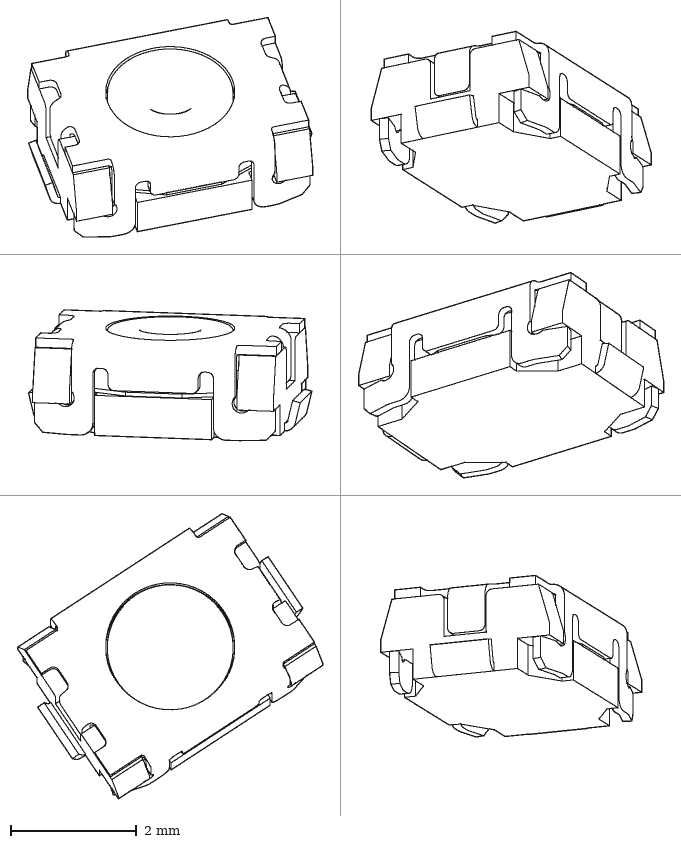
import cadquery as cq
import math

WIDTH = 2.9
HALF_WIDTH = WIDTH / 2
HALF_LENGTH = 1.95
TOTAL_LENGTH = 4.4
TOTAL_HALF_LENGTH = TOTAL_LENGTH / 2
TOP_Z = 1.5
SHEET = 0.15
SHEET_FILLET = 0.1
INNER_BEND = 0.05
OUTER_BEND = INNER_BEND + SHEET

HOUSING_TOP = TOP_Z - SHEET
FLOOR_Z = 0.65
UNDERCUT_Z = 0.495
BLOCK_START = 1.355
BLOCK_TOP_HALF = 1.26
SLOPE_START_Z = 0.7
SIDE_BLOCK_HALF = 0.945
LEG_RECESS_X = 1.26
END_HALF_WIDTH = 0.898
TAPER_END_Y = 1.49
SLOT_HALF = 0.36

SIDE_HALF = 1.325
CORNER_X = 1.21
CORNER_FILLET = 0.05
HOLE_DIAMETER = 2.05
WINDOW_HALF = 0.975
WINDOW_TOP = 1.09
TAB_HALF = 0.73
TAB_BOTTOM = 0.74
LEG_FILLET = 0.2
RELIEF_RADIUS = 0.15
RELIEF_Y = 1.43
RELIEF_Z = 0.6
FOOT_ANGLE = math.radians(15)
FOOT_BEND = 0.44
FOOT_CHAMFER = 0.145
TONGUE_HALF = 0.32
TONGUE_OUTER_Y = 1.895
TONGUE_BOTTOM = 0.7
NOTCH_HALF = 0.765
NOTCH_BOTTOM_Y = 1.69

HEAD_DIAMETER = 2.0
HEAD_FILLET = 0.05
STEM_DIAMETER = 0.8
STEM_BOTTOM = 0.805
FLANGE_BOTTOM = 1.1
FLANGE_HALF_X = 1.24
FLANGE_HALF_Y = 1.35
DISH_RADIUS = 0.58
DISH_DEPTH = 0.29
DISH_FLAT_RADIUS = 0.02

PLATE_THICKNESS = 0.06
PLATE_HALF_X = 1.41
PLATE_HALF_Y = 1.35
PLATE_STRAIGHT_HALF = 0.458
PLATE_TAPER = math.radians(22.5)

TERMINAL_WIDTH = 1.0
TERMINAL_THICKNESS = 0.128
TERMINAL_BEND = 0.175
TERMINAL_LEAN = math.radians(13.5)

EDGE_MARGIN = 0.045


def box(x0, x1, y0, y1, z0, z1):
    return cq.Workplane("XY").box(x1 - x0, y1 - y0, z1 - z0, centered=False).translate((x0, y0, z0))


def both_ends(body):
    """The body together with its mirror image at the other Y end."""
    return body.union(body.mirror("XZ"))


def both_sides(body):
    """The body together with its mirror image at the other X side."""
    return body.union(body.mirror("YZ"))


def four_way_outline(quarter):
    """Closed outline from its +X+Y quarter, listed from the X axis round to the Y axis."""
    half = quarter + [(-x, y) for x, y in reversed(quarter)]
    return half + [(-x, -y) for x, y in half]


def make_base():
    lower_quarter = [
        (HALF_WIDTH, SIDE_BLOCK_HALF),
        (LEG_RECESS_X, SIDE_BLOCK_HALF),
        (END_HALF_WIDTH, TAPER_END_Y),
        (END_HALF_WIDTH, HALF_LENGTH),
    ]
    upper_quarter = [
        (HALF_WIDTH, SIDE_BLOCK_HALF),
        (LEG_RECESS_X, SIDE_BLOCK_HALF),
        (LEG_RECESS_X, BLOCK_START),
    ]
    lower = cq.Workplane("XY").polyline(four_way_outline(lower_quarter)).close().extrude(FLOOR_Z)
    upper = (
        cq.Workplane("XY", origin=(0, 0, UNDERCUT_Z))
        .polyline(four_way_outline(upper_quarter)).close()
        .extrude(FLOOR_Z - UNDERCUT_Z)
    )
    return lower.union(upper)


def make_end_block():
    half = [
        (HALF_WIDTH, UNDERCUT_Z),
        (HALF_WIDTH, SLOPE_START_Z),
        (BLOCK_TOP_HALF, HOUSING_TOP),
    ]
    outline = half + [(-x, z) for x, z in reversed(half)]
    depth = HALF_LENGTH - BLOCK_START
    block = cq.Workplane("XZ", origin=(0, HALF_LENGTH, 0)).polyline(outline).close().extrude(depth)
    slot = box(-SLOT_HALF, SLOT_HALF, BLOCK_START, HALF_LENGTH, FLOOR_Z, HOUSING_TOP)
    slot_rims = cq.selectors.BoxSelector(
        (-SLOT_HALF - EDGE_MARGIN, BLOCK_START - EDGE_MARGIN, HOUSING_TOP - EDGE_MARGIN),
        (SLOT_HALF + EDGE_MARGIN, HALF_LENGTH + EDGE_MARGIN, HOUSING_TOP + EDGE_MARGIN),
    )
    return block.cut(slot).edges("|Y").edges(slot_rims).fillet(SHEET_FILLET)


def make_housing():
    return make_base().union(both_ends(make_end_block()))


def make_shell():
    """Top sheet bent down into the two sides."""
    inner_half = HALF_WIDTH - SHEET
    outer = (
        box(-HALF_WIDTH, HALF_WIDTH, -SIDE_HALF, SIDE_HALF, 0, TOP_Z)
        .edges("|Y and >Z").fillet(OUTER_BEND)
    )
    inner = (
        box(-inner_half, inner_half, -SIDE_HALF, SIDE_HALF, 0, HOUSING_TOP)
        .edges("|Y and >Z").fillet(INNER_BEND)
    )
    return outer.cut(inner)


def make_top_end():
    """Top sheet beyond the sides, with small fillets where it meets them."""
    corner = CORNER_X + CORNER_FILLET
    return (
        cq.Workplane("XY", origin=(0, 0, HOUSING_TOP))
        .moveTo(-corner, SIDE_HALF)
        .radiusArc((-CORNER_X, SIDE_HALF + CORNER_FILLET), -CORNER_FILLET)
        .lineTo(-CORNER_X, HALF_LENGTH)
        .lineTo(CORNER_X, HALF_LENGTH)
        .lineTo(CORNER_X, SIDE_HALF + CORNER_FILLET)
        .radiusArc((corner, SIDE_HALF), -CORNER_FILLET)
        .close()
        .extrude(SHEET)
    )


def make_tongue():
    """Strip bent down into the housing slot; wide enough to keep the fillets at its root."""
    half = TONGUE_HALF + SHEET_FILLET
    outer = (
        box(-half, half, NOTCH_BOTTOM_Y, TONGUE_OUTER_Y, TONGUE_BOTTOM, TOP_Z)
        .edges("|X and >Y and >Z").fillet(OUTER_BEND)
    )
    inner = (
        box(-half, half, NOTCH_BOTTOM_Y, TONGUE_OUTER_Y - SHEET, TONGUE_BOTTOM, HOUSING_TOP)
        .edges("|X and >Y and >Z").fillet(INNER_BEND)
    )
    return outer.cut(inner)


def make_notches():
    notch = (
        box(TONGUE_HALF, NOTCH_HALF, NOTCH_BOTTOM_Y, HALF_LENGTH, 0, TOP_Z)
        .edges("|Z and <Y").fillet(SHEET_FILLET)
    )
    return both_sides(notch)


def make_cover_end():
    half = TONGUE_HALF + SHEET_FILLET
    tongue_space = box(-half, half, NOTCH_BOTTOM_Y, HALF_LENGTH, HOUSING_TOP, TOP_Z)
    end = make_top_end().cut(tongue_space).union(make_tongue()).cut(make_notches())
    return end.edges("|Y and <Z").fillet(SHEET_FILLET)


def make_window():
    """Side window with a rounded notch on each side of a hanging tab."""
    tab = (
        box(-HALF_WIDTH, HALF_WIDTH, -TAB_HALF, TAB_HALF, TAB_BOTTOM, WINDOW_TOP)
        .edges("|X and <Z").fillet(SHEET_FILLET)
    )
    opening = box(-HALF_WIDTH, HALF_WIDTH, -WINDOW_HALF, WINDOW_HALF, 0, WINDOW_TOP)
    return opening.cut(tab).edges("|X and >Z").fillet(SHEET_FILLET)


def make_foot():
    """Foot that continues a leg outward in Y and is bent in under the housing corner."""
    sine = math.sin(FOOT_ANGLE)
    cosine = math.cos(FOOT_ANGLE)
    center_x = HALF_WIDTH - FOOT_BEND
    inner_radius = FOOT_BEND - SHEET
    straight = (HALF_LENGTH - SIDE_HALF - FOOT_BEND * sine) / cosine

    def bend_end(radius):
        return center_x + radius * cosine, SIDE_HALF + radius * sine

    def tip(radius):
        x, y = bend_end(radius)
        return x - straight * sine, y + straight * cosine

    foot = (
        cq.Workplane("XY")
        .moveTo(HALF_WIDTH, SIDE_HALF)
        .radiusArc(bend_end(FOOT_BEND), -FOOT_BEND)
        .lineTo(*tip(FOOT_BEND))
        .lineTo(*tip(inner_radius))
        .lineTo(*bend_end(inner_radius))
        .radiusArc((HALF_WIDTH - SHEET, SIDE_HALF), inner_radius)
        .close()
        .extrude(UNDERCUT_Z)
    )
    tip_center = tip(FOOT_BEND - SHEET / 2)
    bottom_tip_edge = cq.selectors.NearestToPointSelector((*tip_center, 0))
    return foot.edges(bottom_tip_edge).chamfer(FOOT_CHAMFER)


def make_relief_holes():
    hole = (
        cq.Workplane("YZ", origin=(-HALF_WIDTH, 0, 0))
        .center(RELIEF_Y, RELIEF_Z).circle(RELIEF_RADIUS).extrude(2 * HALF_WIDTH)
    )
    return both_ends(hole)


def make_cover():
    leg_toes = cq.selectors.BoxSelector(
        (-HALF_WIDTH - EDGE_MARGIN, -WINDOW_HALF - EDGE_MARGIN, -EDGE_MARGIN),
        (HALF_WIDTH + EDGE_MARGIN, WINDOW_HALF + EDGE_MARGIN, EDGE_MARGIN),
    )
    sides = make_shell().cut(make_window()).edges("|X").edges(leg_toes).fillet(LEG_FILLET)
    cover = sides.union(both_ends(make_cover_end())).union(both_ends(both_sides(make_foot())))
    button_hole = cq.Workplane("XY").circle(HOLE_DIAMETER / 2).extrude(TOP_Z)
    return cover.cut(make_relief_holes()).cut(button_hole)


def make_button():
    head = (
        cq.Workplane("XY", origin=(0, 0, FLANGE_BOTTOM))
        .circle(HEAD_DIAMETER / 2).extrude(TOP_Z - FLANGE_BOTTOM)
    )
    flat_angle = math.degrees(math.acos(DISH_FLAT_RADIUS / DISH_RADIUS))
    flat_drop = math.sqrt(DISH_RADIUS**2 - DISH_FLAT_RADIUS**2)
    dish = (
        cq.Workplane("XY").sphere(DISH_RADIUS, angle1=-flat_angle)
        .translate((0, 0, TOP_Z - DISH_DEPTH + flat_drop))
    )
    head = head.cut(dish).faces(">Z").edges().fillet(HEAD_FILLET)
    flange = box(-FLANGE_HALF_X, FLANGE_HALF_X, -FLANGE_HALF_Y, FLANGE_HALF_Y, FLANGE_BOTTOM, HOUSING_TOP)
    flange_core = cq.Workplane("XY").circle(HEAD_DIAMETER / 2).extrude(TOP_Z)
    stem = (
        cq.Workplane("XY", origin=(0, 0, STEM_BOTTOM))
        .circle(STEM_DIAMETER / 2).extrude(FLANGE_BOTTOM - STEM_BOTTOM)
    )
    return head.union(flange.cut(flange_core)).union(stem)


def make_contact_plate():
    end_half_x = PLATE_HALF_X - (PLATE_HALF_Y - PLATE_STRAIGHT_HALF) * math.tan(PLATE_TAPER)
    quarter = [(PLATE_HALF_X, PLATE_STRAIGHT_HALF), (end_half_x, PLATE_HALF_Y)]
    return (
        cq.Workplane("XY", origin=(0, 0, FLOOR_Z))
        .polyline(four_way_outline(quarter)).close().extrude(PLATE_THICKNESS)
    )


def make_terminal():
    """Strip leaving the +Y end wall along the bottom and bent up, leaning outward."""
    sine = math.sin(TERMINAL_LEAN)
    cosine = math.cos(TERMINAL_LEAN)
    inner_bend = TERMINAL_BEND - TERMINAL_THICKNESS
    length = (TOTAL_HALF_LENGTH - HALF_LENGTH - TERMINAL_BEND * cosine) / sine

    def bend_end(radius):
        return HALF_LENGTH + radius * cosine, TERMINAL_BEND - radius * sine

    def tip(radius):
        y, z = bend_end(radius)
        return y + length * sine, z + length * cosine

    return (
        cq.Workplane("YZ", origin=(-TERMINAL_WIDTH / 2, 0, 0))
        .moveTo(HALF_LENGTH, 0)
        .radiusArc(bend_end(TERMINAL_BEND), -TERMINAL_BEND)
        .lineTo(*tip(TERMINAL_BEND))
        .lineTo(*tip(inner_bend))
        .lineTo(*bend_end(inner_bend))
        .radiusArc((HALF_LENGTH, TERMINAL_THICKNESS), inner_bend)
        .close()
        .extrude(TERMINAL_WIDTH)
    )


housing = make_housing()
cover = make_cover()
button = make_button()
contact_plate = make_contact_plate()
terminals = [make_terminal().rotate((0, 0, 0), (0, 0, 1), angle).val() for angle in (0, 180)]

result = cq.Compound.makeCompound([
    housing.val(),
    cover.val(),
    button.val(),
    contact_plate.val(),
    *terminals,
])